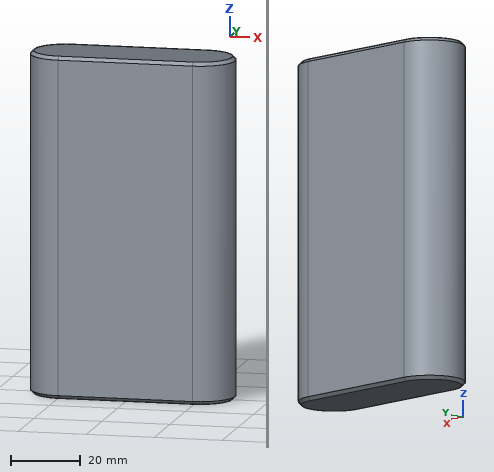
import cadquery as cq

width = 60.0
thickness = 20.5
height = 100.0
edge_chamfer = 1.0

body = (
    cq.Workplane("XY")
    .slot2D(width, thickness)
    .extrude(height / 2, both=True)
)

result = body.faces("<Z or >Z").edges().chamfer(edge_chamfer)